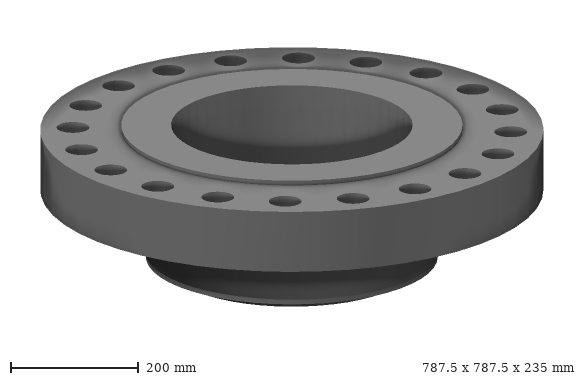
import cadquery as cq

flange_diameter = 787.5
flange_thickness = 99.0
bore_diameter = 378.0

face_diameter = 534.0
face_height = 8.0

total_height = 235.0
hub_top_diameter = 564.0
root_fillet_radius = 17.0
root_margin = 1.0
hub_end_diameter = 457.0
collar_height = 8.0
land_rise = 2.0
bevel_top_diameter = 416.0
bevel_end_diameter = 383.0
bevel_height = 14.0

bolt_count = 20
bolt_circle_diameter = 685.0
bolt_hole_diameter = 51.0

face_top = total_height
plate_top = face_top - face_height
plate_bottom = plate_top - flange_thickness
collar_bottom = bevel_height + land_rise
collar_top = collar_bottom + collar_height


def make_body():
    """Revolve the half section of the plate, raised face and hub."""
    section = [
        (bore_diameter / 2, 0),
        (bevel_end_diameter / 2, 0),
        (bevel_top_diameter / 2, bevel_height),
        (hub_end_diameter / 2, collar_bottom),
        (hub_end_diameter / 2, collar_top),
        (hub_top_diameter / 2, plate_bottom),
        (flange_diameter / 2, plate_bottom),
        (flange_diameter / 2, plate_top),
        (face_diameter / 2, plate_top),
        (face_diameter / 2, face_top),
        (bore_diameter / 2, face_top),
    ]
    return cq.Workplane("XZ").polyline(section).close().revolve(360, (0, 0, 0), (0, 1, 0))


def fillet_hub_root(body):
    """Round the inner corner where the hub meets the plate."""
    reach = hub_top_diameter / 2 + root_margin
    root_zone = cq.selectors.BoxSelector(
        (-reach, -reach, plate_bottom - root_margin),
        (reach, reach, plate_bottom + root_margin),
        boundingbox=True,
    )
    return body.edges(root_zone).fillet(root_fillet_radius)


def make_bolt_holes():
    """Cutters spaced evenly on the bolt circle, the first on the X axis."""
    return (
        cq.Workplane("XY", origin=(0, 0, plate_bottom))
        .polarArray(bolt_circle_diameter / 2, 0, 360, bolt_count)
        .circle(bolt_hole_diameter / 2)
        .extrude(flange_thickness)
    )


result = fillet_hub_root(make_body()).cut(make_bolt_holes())